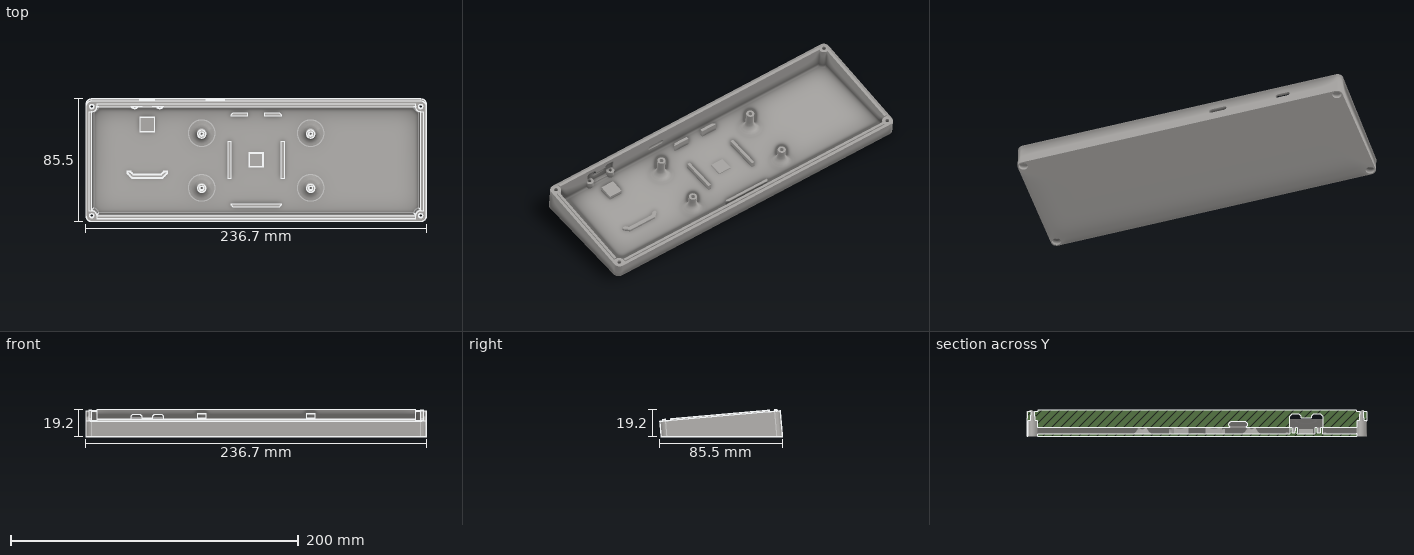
import cadquery as cq
import math

width = 236.7
depth = 85.5
height = 19.2
tilt = 5.0

corner_radius = 4.0
floor_thickness = 1.5
floor_fillet = 1.55
wall = 4.0

deep = 33.1
overlap = 2.4
select_band = 0.12

lip_height = 1.1
ledge = 2.1
lip_corner_gap = 7.5

pillar_radius = 3.5
pillar_inset = corner_radius
pillar_hole = 2.8
pillar_head_space = 6.2
pillar_seat = -6.9

standoff_diameter = 5.7
standoff_hole = 2.8
standoff_hole_depth = 7.0
standoff_x = 37.9
standoff_y = 19.0
standoff_fillet = 6.5

bay_x = -75.8
bay_width = 22.7
bay_depth = 2.4
bay_dip_top = -5.0
bay_floor = -15.2
hump_width = 7.5
hump_top = -2.1
hump_chamfer = 1.5
hump_back_fillet = 2.5
port_width = 10.5
port_height = 3.3
port_level = -9.2
post_diameter = 5.7
post_hole = 2.4
post_spacing = 17.5
post_wall_distance = 3.5
post_top = -11.4
post_hole_depth = 3.5
pad_width = 10.0
pad_length = 10.2
pad_y = 24.6
pad_top = -11.8

slot_x = -28.5
slot_width = 12.8
slot_height = 3.5
slot_level = -9.2

frame_y = 0.2
rib_thickness = 2.1
rib_height = 4.0
side_rib_x = 18.5
side_rib_length = 25.5
end_rib_y = 31.6
end_rib_half_length = 17.5
rear_rib_gap = 11.8
rear_rib_height = 5.5
rib_corner_chamfer = 1.5

square_size = 10.0
square_height = 1.0
edge_chamfer = 0.5

guide_width = 28.5
guide_rear_y = -7.5
guide_front_y = -12.5
guide_thickness = 2.8
guide_bend = 3.5
guide_height = 2.0

sin_tilt = math.sin(math.radians(tilt))
cos_tilt = math.cos(math.radians(tilt))
rear_rim_z = height + ledge * sin_tilt - lip_height * cos_tilt
rim_length = (depth - rear_rim_z * sin_tilt / cos_tilt) / cos_tilt
rim_center_y = (rim_length * cos_tilt - depth) / 2
rim_center_z = rear_rim_z - rim_length / 2 * sin_tilt
inner_x = width / 2 - wall
inner_y = rim_length / 2 - wall
root_level = floor_thickness / 2
pillar_x = width / 2 - pillar_inset
pillar_y = rim_length / 2 - pillar_inset
pillar_points = [(sx * pillar_x, sy * pillar_y) for sx in (-1, 1) for sy in (-1, 1)]
standoff_points = [(sx * standoff_x, sy * standoff_y) for sx in (-1, 1) for sy in (-1, 1)]


def tilted(shape):
    """Move a shape from the rim frame (rim plane at zero, centred) to its place in the part."""
    return shape.rotate((0, 0, 0), (1, 0, 0), tilt).translate((0, rim_center_y, rim_center_z))


def above(level):
    """Everything above a horizontal level."""
    return cq.Workplane("XY", origin=(0, 0, level)).rect(2 * width, 2 * depth).extrude(2 * height)


def span(x0, x1, y0, y1, z0, z1):
    """Box between two opposite corners."""
    return cq.Workplane("XY").box(x1 - x0, y1 - y0, z1 - z0, centered=False).translate((x0, y0, z0))


def cylinders(points, diameter, top, length):
    """Round pins that hang down from a level of the rim frame."""
    return cq.Workplane("XY", origin=(0, 0, top)).pushPoints(points).circle(diameter / 2).extrude(-length)


def shell():
    block = cq.Workplane("XY").rect(width, rim_length).extrude(-deep).edges("|Z").fillet(corner_radius)
    lip_x = width / 2 - ledge
    lip_y = rim_length / 2 - ledge
    lip = span(-lip_x, lip_x, -lip_y, lip_y, -lip_height, lip_height)
    lip = lip.cut(span(-inner_x, inner_x, -inner_y, inner_y, -lip_height, lip_height))
    for sx in (-1, 1):
        for sy in (-1, 1):
            corner = cq.Workplane("XY").rect(2 * lip_corner_gap, 2 * lip_corner_gap).extrude(lip_height)
            lip = lip.cut(corner.translate((sx * width / 2, sy * rim_length / 2, 0)))
    block = block.union(lip)
    cavity = cq.Workplane("XY", origin=(0, 0, lip_height)).rect(2 * inner_x, 2 * inner_y).extrude(-deep)
    cavity = cavity.cut(cylinders(pillar_points, 2 * pillar_radius, deep, 3 * deep))
    cavity = tilted(cavity).intersect(above(floor_thickness)).faces("<Z").edges().fillet(floor_fillet)
    holes = cylinders(pillar_points, pillar_hole, deep, 3 * deep)
    holes = holes.union(cylinders(pillar_points, pillar_head_space, pillar_seat, deep))
    return tilted(block).intersect(above(0)).cut(cavity).cut(tilted(holes))


def add_standoffs(body):
    pins = tilted(cylinders(standoff_points, standoff_diameter, 0, deep)).intersect(above(root_level))
    body = body.union(pins)
    foot_x = standoff_x + standoff_diameter
    foot_y = standoff_y + standoff_diameter
    feet = cq.selectors.BoxSelector(
        (-foot_x, -foot_y, floor_thickness - select_band), (foot_x, foot_y, floor_thickness + select_band)
    )
    body = body.edges(feet).fillet(standoff_fillet)
    return body.cut(tilted(cylinders(standoff_points, standoff_hole, 0, standoff_hole_depth)))


def rear_slot(x, level, slot_w, slot_h):
    """Round-ended slot that runs through the rear wall only."""
    return (
        cq.Workplane("XZ", origin=(x, rim_length, level))
        .slot2D(slot_w, slot_h)
        .extrude(rim_length - inner_y + overlap)
    )


def add_connector_bay(body):
    back_y = inner_y + bay_depth
    front_y = inner_y - overlap
    half = bay_width / 2
    bay = span(bay_x - half, bay_x + half, front_y, back_y, bay_floor, bay_dip_top)
    for s in (-1, 1):
        x = bay_x + s * (half - hump_width / 2)
        hump = span(x - hump_width / 2, x + hump_width / 2, front_y, back_y, bay_floor, hump_top)
        bevelled = hump.edges(">Z and |Y").chamfer(hump_chamfer)
        bay = bay.union(hump.edges(">Z and >Y").fillet(hump_back_fillet).intersect(bevelled))
    posts_at = [(bay_x + s * post_spacing / 2, rim_length / 2 - post_wall_distance) for s in (-1, 1)]
    pad = cq.Workplane("XY", origin=(bay_x, pad_y, pad_top)).rect(pad_width, pad_length).extrude(-deep)
    solids = cylinders(posts_at, post_diameter, post_top, deep).union(pad)
    body = body.cut(tilted(bay)).union(tilted(solids).intersect(above(root_level)))
    body = body.cut(tilted(rear_slot(bay_x, port_level, port_width, port_height)))
    return body.cut(tilted(cylinders(posts_at, post_hole, post_top, post_hole_depth)))


def add_ribs(body):
    half = rib_thickness / 2
    side_half = side_rib_length / 2
    top = floor_thickness + rib_height
    for s in (-1, 1):
        x = s * side_rib_x
        body = body.union(span(x - half, x + half, frame_y - side_half, frame_y + side_half, root_level, top))
    front_y = frame_y - end_rib_y
    front = span(
        -end_rib_half_length, end_rib_half_length, front_y - half, front_y + half,
        root_level, top,
    ).edges("|Z and <Y").chamfer(rib_corner_chamfer)
    rear_y = frame_y + end_rib_y
    rear = span(
        -end_rib_half_length, end_rib_half_length, rear_y - half, rear_y + half,
        root_level, floor_thickness + rear_rib_height,
    ).edges("|Z and >Y").chamfer(rib_corner_chamfer)
    gap = span(-rear_rib_gap / 2, rear_rib_gap / 2, rear_y - rib_thickness, rear_y + rib_thickness, 0, height)
    return body.union(front).union(rear.cut(gap))


def add_floor_details(body):
    square = (
        cq.Workplane("XY", origin=(0, frame_y, floor_thickness))
        .rect(square_size, square_size).extrude(square_height).faces(">Z").chamfer(edge_chamfer)
    )
    half = guide_width / 2
    inner_half = half - guide_thickness
    inner_bend = guide_bend / 2
    inner_front = guide_front_y + guide_thickness
    guide = (
        cq.Workplane("XY", origin=(bay_x, 0, floor_thickness))
        .polyline([
            (-half, guide_rear_y), (-half, guide_front_y + guide_bend), (-half + guide_bend, guide_front_y),
            (half - guide_bend, guide_front_y), (half, guide_front_y + guide_bend), (half, guide_rear_y),
            (inner_half, guide_rear_y), (inner_half, inner_front + inner_bend),
            (inner_half - inner_bend, inner_front), (-inner_half + inner_bend, inner_front),
            (-inner_half, inner_front + inner_bend), (-inner_half, guide_rear_y),
        ]).close().extrude(guide_height).faces(">Z").chamfer(edge_chamfer)
    )
    return body.union(square).union(guide)


body = add_standoffs(shell())
body = add_connector_bay(body)
body = body.cut(tilted(rear_slot(slot_x, slot_level, slot_width, slot_height)))
body = add_ribs(body)
result = add_floor_details(body)